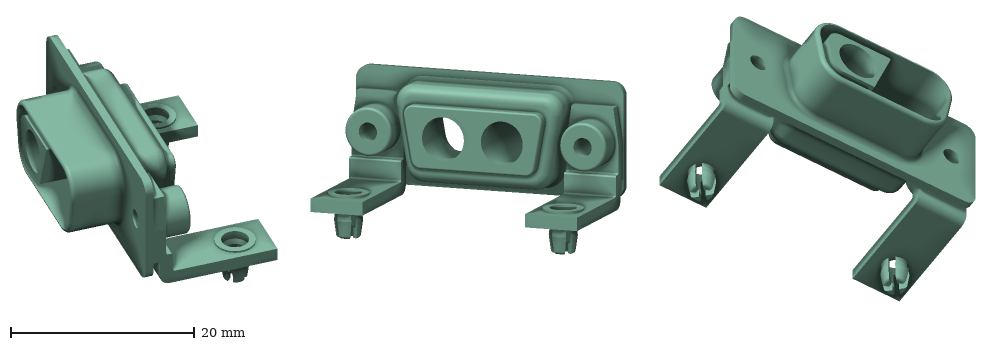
import cadquery as cq
import math

SIDE_ANGLE = math.radians(10)


FLANGE_LENGTH = 31.2
FLANGE_HEIGHT = 13.0
FLANGE_THICKNESS = 0.95
FLANGE_CORNER = 1.5

RING_TOLERANCE = 0.03

SHELL_HALF_WIDTH = 8.65
SHELL_HEIGHT = 9.2
SHELL_CORNER = 3.03
SHELL_WALL = 0.5
SHELL_FRONT = -6.1
SHELL_ROOT_FILLET = 0.5
SHELL_LIP_FILLET = 0.47

HOUSING_HALF_WIDTH = 9.15
HOUSING_HEIGHT = 10.82
HOUSING_CORNER = 2.03
HOUSING_BACK = 5.05
HOUSING_BACK_FILLET = 1.22
HOUSING_ROOT_FILLET = 1.0
HOUSING_ROOT_START = 0.7
INSULATOR_HALF_WIDTH = 7.65
INSULATOR_HEIGHT = 7.02
INSULATOR_CORNER = 1.05
INSULATOR_BACK = 6.4
INSULATOR_BACK_FILLET = 0.22

CONTACT_OFFSET = 3.43
CONTACT_RADIUS = 2.43
POST_FRONT = -6.05
CAVITY_FLOOR = 0.5
POST_LEFT = -7.05
POST_HEIGHT = 6.05
POST_CORNER = 1.65
POST_TOP_RIGHT = 0.8
POST_BOTTOM_RIGHT = -1.3
POST_TIP_FILLET = 0.2

MOUNT_OFFSET = 12.5
MOUNT_HOLE_RADIUS = 1.05
BOSS_RADIUS = 2.7
BOSS_BACK = 5.5
BOSS_EDGE_FILLET = 0.3
BRACKET_HALF_WIDTH = 3.03
BRACKET_TOP_HALF_WIDTH = 2.43
BRACKET_THICKNESS = 1.5
BRACKET_JOG = 0.78
BRACKET_TOP = 4.0
JOG_BACK_HEIGHT = -3.4
JOG_FRONT_HEIGHT = -4.25
FOOT_BOTTOM = -7.27
FOOT_BACK = 15.4
BEND_FILLET = 1.12
SMALL_BEND_FILLET = 0.22

PEG_Y = 11.57
COLLAR_RADIUS = 2.28
COLLAR_HEIGHT = 0.22
PEG_MOUTH_RADIUS = 1.53
PEG_BORE_RADIUS = 1.05
PEG_MOUTH_BOTTOM = -6.55
PEG_BORE_TOP = -6.92
PEG_BORE_BOTTOM = -9.45
PEG_ROOT_RADIUS = 1.55
PEG_NECK_RADIUS = 1.47
PEG_NECK_Z = -7.58
PEG_BULGE_RADIUS = 1.6
PEG_BULGE_Z = -8.58
PEG_END_RADIUS = 1.3
PEG_BOTTOM = -10.57
PEG_END_FILLET = 0.37
PEG_SLOT_WIDTH = 0.75


def frontal_plane(y):
    """Sketch plane at the given Y; sketch up is +Z and extrusion runs toward +Y."""
    return cq.Workplane(cq.Plane(origin=(0, y, 0), xDir=(1, 0, 0), normal=(0, -1, 0)))


def side_shift(height):
    """Half of the width lost between the top and bottom of a 10 degree sloped side."""
    return height / 2 * math.tan(SIDE_ANGLE)


def d_prism(half_width, height, corner, y_start, y_end):
    """D-shaped block, wider at the top; half_width is taken at mid height."""
    shift = side_shift(height)
    top = half_width + shift
    bottom = half_width - shift
    outline = [
        (-top, height / 2),
        (top, height / 2),
        (bottom, -height / 2),
        (-bottom, -height / 2),
    ]
    block = frontal_plane(y_start).polyline(outline).close().extrude(y_start - y_end)
    return block.edges("|Y").fillet(corner)


def cylinder(x, radius, y_start, y_end):
    return frontal_plane(y_start).center(x, 0).circle(radius).extrude(y_start - y_end)


def flange_plate(thickness):
    """Rounded flange plate; its front face is at Y = 0."""
    plate = frontal_plane(0).rect(FLANGE_LENGTH, FLANGE_HEIGHT).extrude(-thickness)
    return plate.edges("|Y").fillet(FLANGE_CORNER)


def round_root(body, y, radius):
    """Fillet the ring where a D-shaped wall rises from a plate face at the given Y."""
    half_x = FLANGE_LENGTH / 2 - FLANGE_CORNER
    half_z = FLANGE_HEIGHT / 2 - RING_TOLERANCE
    ring = cq.selectors.BoxSelector(
        (-half_x, y - RING_TOLERANCE, -half_z),
        (half_x, y + RING_TOLERANCE, half_z),
    )
    return body.edges(ring).fillet(radius)


def make_shell_and_housing():
    shell = d_prism(SHELL_HALF_WIDTH, SHELL_HEIGHT, SHELL_CORNER, SHELL_FRONT, 0)
    shell = shell.faces("<Y").edges().fillet(SHELL_LIP_FILLET)
    housing = d_prism(HOUSING_HALF_WIDTH, HOUSING_HEIGHT, HOUSING_CORNER, 0, HOUSING_BACK)
    housing = housing.faces(">Y").edges().fillet(HOUSING_BACK_FILLET)
    insulator = d_prism(INSULATOR_HALF_WIDTH, INSULATOR_HEIGHT, INSULATOR_CORNER, 0, INSULATOR_BACK)
    insulator = insulator.faces(">Y").edges().fillet(INSULATOR_BACK_FILLET)

    body = flange_plate(HOUSING_ROOT_START).union(shell).union(housing)
    body = round_root(body, 0, SHELL_ROOT_FILLET)
    body = round_root(body, HOUSING_ROOT_START, HOUSING_ROOT_FILLET)
    return body.union(flange_plate(FLANGE_THICKNESS)).union(insulator)


def make_cavity():
    half_width = SHELL_HALF_WIDTH - SHELL_WALL / math.cos(SIDE_ANGLE)
    height = SHELL_HEIGHT - 2 * SHELL_WALL
    return d_prism(half_width, height, SHELL_CORNER - SHELL_WALL, SHELL_FRONT, CAVITY_FLOOR)


def make_post():
    """Keyed post: the left side follows the shell, the right side slants across it."""
    half_height = POST_HEIGHT / 2
    shift = side_shift(POST_HEIGHT)
    outline = [
        (POST_LEFT - shift, half_height),
        (POST_TOP_RIGHT, half_height),
        (POST_BOTTOM_RIGHT, -half_height),
        (POST_LEFT + shift, -half_height),
    ]
    post = frontal_plane(POST_FRONT).polyline(outline).close().extrude(POST_FRONT - CAVITY_FLOOR)
    left_corners = [(POST_LEFT - shift, half_height), (POST_LEFT + shift, -half_height)]
    for x, z in left_corners:
        corner = cq.selectors.NearestToPointSelector((x, (POST_FRONT + CAVITY_FLOOR) / 2, z))
        post = post.edges(corner).fillet(POST_CORNER)
    return post.edges("|Y").edges(">X").fillet(POST_TIP_FILLET)


def make_bracket(x):
    """Angle bracket with a jogged upright, a tapered top and a foot reaching toward +Y."""
    jog_back = FLANGE_THICKNESS + BRACKET_THICKNESS
    bend_front = FLANGE_THICKNESS + BRACKET_JOG
    bend_back = bend_front + BRACKET_THICKNESS
    foot_top = FOOT_BOTTOM + BRACKET_THICKNESS
    profile = [
        (FLANGE_THICKNESS, BRACKET_TOP),
        (jog_back, BRACKET_TOP),
        (jog_back, JOG_BACK_HEIGHT),
        (bend_back, JOG_BACK_HEIGHT),
        (bend_back, foot_top),
        (FOOT_BACK, foot_top),
        (FOOT_BACK, FOOT_BOTTOM),
        (bend_front, FOOT_BOTTOM),
        (bend_front, JOG_FRONT_HEIGHT),
        (FLANGE_THICKNESS, JOG_FRONT_HEIGHT),
    ]
    side_plane = cq.Workplane("YZ", origin=(x, 0, 0))
    bracket = side_plane.polyline(profile).close().extrude(BRACKET_HALF_WIDTH, both=True)

    def edge_along_x(y, z):
        return cq.selectors.NearestToPointSelector((x, y, z))

    bracket = bracket.edges(edge_along_x(bend_front, FOOT_BOTTOM)).fillet(BEND_FILLET)
    small_bends = [
        (bend_back, foot_top),
        (bend_back, JOG_BACK_HEIGHT),
        (jog_back, JOG_BACK_HEIGHT),
        (bend_front, JOG_FRONT_HEIGHT),
    ]
    for y, z in small_bends:
        bracket = bracket.edges(edge_along_x(y, z)).fillet(SMALL_BEND_FILLET)

    for side in (-1, 1):
        wedge = [
            (x + side * BRACKET_HALF_WIDTH, 0),
            (x + side * BRACKET_HALF_WIDTH, BRACKET_TOP),
            (x + side * BRACKET_TOP_HALF_WIDTH, BRACKET_TOP),
        ]
        cutter = frontal_plane(FLANGE_THICKNESS).polyline(wedge).close().extrude(-BRACKET_THICKNESS)
        bracket = bracket.cut(cutter)
    return bracket


def make_boss(x):
    boss = cylinder(x, BOSS_RADIUS, FLANGE_THICKNESS, BOSS_BACK)
    return boss.faces(">Y").edges().fillet(BOSS_EDGE_FILLET)


def revolve_at_peg(x, profile):
    """Solid of revolution about the vertical peg axis, from (radius, Z) points."""
    plane = cq.Workplane("XZ", origin=(x, PEG_Y, 0))
    return plane.polyline(profile).close().revolve(360, (0, 0), (0, 1))


def make_peg(x):
    """Collar on the foot and barrel-shaped peg below it, split by two crossed slots."""
    collar_top = FOOT_BOTTOM + BRACKET_THICKNESS + COLLAR_HEIGHT
    outline = [
        (0, collar_top),
        (COLLAR_RADIUS, collar_top),
        (COLLAR_RADIUS, FOOT_BOTTOM + BRACKET_THICKNESS),
        (PEG_ROOT_RADIUS, FOOT_BOTTOM + BRACKET_THICKNESS),
        (PEG_ROOT_RADIUS, FOOT_BOTTOM),
        (PEG_NECK_RADIUS, PEG_NECK_Z),
        (PEG_BULGE_RADIUS, PEG_BULGE_Z),
        (PEG_END_RADIUS, PEG_BOTTOM),
        (0, PEG_BOTTOM),
    ]
    peg = revolve_at_peg(x, outline).faces("<Z").edges().fillet(PEG_END_FILLET)
    slot_height = FOOT_BOTTOM - PEG_BOTTOM
    slot_middle = (FOOT_BOTTOM + PEG_BOTTOM) / 2
    for angle in (45, -45):
        slot = cq.Workplane("XY").box(4 * PEG_BULGE_RADIUS, PEG_SLOT_WIDTH, slot_height)
        slot = slot.rotate((0, 0, 0), (0, 0, 1), angle)
        peg = peg.cut(slot.translate((x, PEG_Y, slot_middle)))
    return peg


def make_peg_bore(x):
    collar_top = FOOT_BOTTOM + BRACKET_THICKNESS + COLLAR_HEIGHT
    outline = [
        (0, collar_top),
        (PEG_MOUTH_RADIUS, collar_top),
        (PEG_MOUTH_RADIUS, PEG_MOUTH_BOTTOM),
        (PEG_BORE_RADIUS, PEG_BORE_TOP),
        (PEG_BORE_RADIUS, PEG_BORE_BOTTOM),
        (0, PEG_BORE_BOTTOM),
    ]
    return revolve_at_peg(x, outline)


result = make_shell_and_housing().cut(make_cavity()).union(make_post())

for contact_x in (-CONTACT_OFFSET, CONTACT_OFFSET):
    result = result.cut(cylinder(contact_x, CONTACT_RADIUS, SHELL_FRONT, INSULATOR_BACK))

for mount_x in (-MOUNT_OFFSET, MOUNT_OFFSET):
    result = result.union(make_bracket(mount_x)).union(make_boss(mount_x))
    result = result.cut(cylinder(mount_x, MOUNT_HOLE_RADIUS, 0, BOSS_BACK))
    result = result.union(make_peg(mount_x)).cut(make_peg_bore(mount_x))